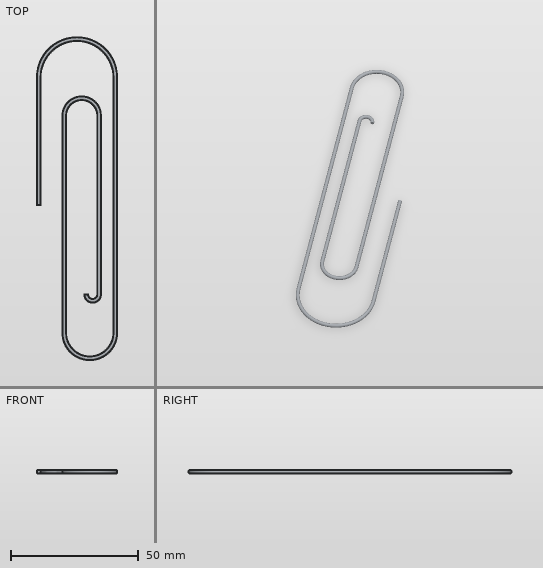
import cadquery as cq

overall_length = 126.5
overall_width = 31.5
wire_diameter = 1.5

outer_radius = (overall_width - wire_diameter) / 2
bottom_radius = 10.0
inner_radius = 6.8
hook_radius = 2.5

free_leg = 50.0
long_leg = overall_length - wire_diameter - outer_radius - bottom_radius
inner_left_leg = 85.0
inner_right_leg = 70.0

left_x = -outer_radius
right_x = outer_radius
inner_left_x = right_x - 2 * bottom_radius
inner_right_x = inner_left_x + 2 * inner_radius
hook_tip_x = inner_right_x - 2 * hook_radius

bottom_y = -long_leg
inner_top_y = bottom_y + inner_left_leg
hook_y = inner_top_y - inner_right_leg


def half_turn(path, start_x, end_x, y, side):
    """Add a semicircle at position y; side is +1 for an upward bulge, -1 for a downward one."""
    radius = abs(end_x - start_x) / 2
    middle = ((start_x + end_x) / 2, y + side * radius)
    return path.threePointArc(middle, (end_x, y))


path = cq.Workplane("XY").moveTo(left_x, -free_leg).lineTo(left_x, 0)
path = half_turn(path, left_x, right_x, 0, 1)
path = path.lineTo(right_x, bottom_y)
path = half_turn(path, right_x, inner_left_x, bottom_y, -1)
path = path.lineTo(inner_left_x, inner_top_y)
path = half_turn(path, inner_left_x, inner_right_x, inner_top_y, 1)
path = path.lineTo(inner_right_x, hook_y)
path = half_turn(path, inner_right_x, hook_tip_x, hook_y, -1)

section = cq.Workplane("XZ", origin=(left_x, -free_leg, 0)).circle(wire_diameter / 2)
result = section.sweep(path)